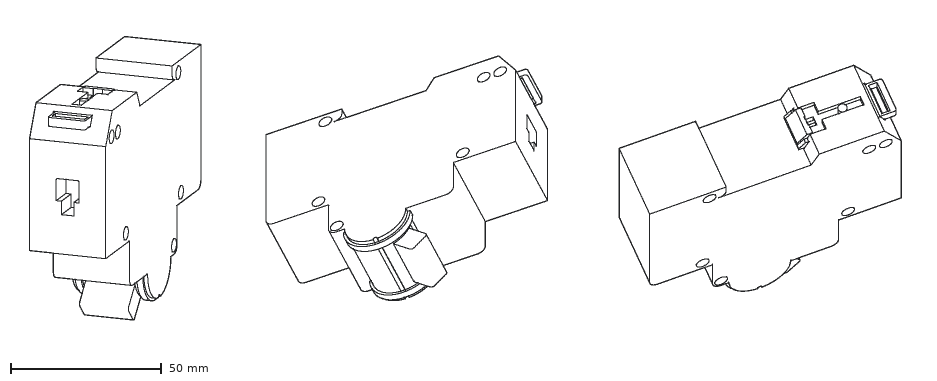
import cadquery as cq
import math


housing_width = 27.0
rear_y = 39.4
front_y = -50.7
nose_rear_y = 16.9
nose_front_y = -28.2
shoulder_z = 16.1
rail_floor_z = 60.1
top_z = 65.5
rail_rear_y = 12.05
rail_lip_radius = 2.7
rail_front_y = -18.3
rail_front_top_y = -21.3
front_slope_top_y = -44.5
front_slope_bottom_z = 54.8
corner_radius = 2.9

cross_hole_diameter = 4.6
cross_hole_places = [
    (18.0, 61.6),
    (20.4, 19.6),
    (13.9, 3.1),
    (-31.6, 19.6),
    (-39.2, 56.7),
    (-45.1, 56.7),
]

drum_radius = 11.0
ring_radius = 12.05
ring_width = 2.2
ring_offset_x = 11.0
drum_hole_diameter = 1.5
drum_hole_z = -10.9
lever_width = 17.3
lever_thickness = 7.9
lever_reach = 19.8
lever_angle = 45.0
lever_tip_radius = 1.1
lever_notch_top_z = -2.9
lever_notch_bottom_z = -5.5
lever_notch_depth = 4.6

pocket_top_z = 42.0
pocket_step_z = 34.3
pocket_bottom_z = 29.7
pocket_wide = 8.0
pocket_narrow = 4.4
pocket_depth = 9.1
pocket_corner_radius = 0.5

clip_width = 13.1
clip_rear_y = -16.7
clip_length = 35.1
clip_front_y = clip_rear_y - clip_length
clip_top_z = 63.2
clip_nose_z = 60.7
clip_corner_radius = 0.9
catch_width = 10.2
catch_nose_z = 62.0
catch_front_y = -22.3
window_width = 11.5
window_rear_y = -46.7
window_front_y = -49.7
pin_diameter = 3.1
pin_y = -35.05
pin_top_z = 65.3
spring_pocket_width = 3.3
spring_pocket_rear_y = -22.0
spring_pocket_front_y = -25.2
spring_rib_width = 1.0
spring_rib_top_z = 62.9

channel_width = 13.8
channel_top_z = 63.5
slot_head_width = 10.8
slot_head_front_y = -27.0
slot_stem_width = 3.3
slot_stem_front_y = -42.1


def box(width, rear, front, bottom, top):
    """Box centred on X = 0 between two Y positions and two Z positions."""
    corner = cq.Vector(-width / 2, front, bottom)
    return cq.Workplane(cq.Solid.makeBox(width, rear - front, top - bottom, corner))


def side_prism(outline, width):
    """Closed (Y, Z) outline extruded along X, centred on X = 0."""
    return outline.extrude(width).translate((-width / 2, 0, 0))


def housing_shell():
    lip_drop = rail_lip_radius * math.sqrt(0.5)
    lip_centre_y = rail_rear_y + rail_lip_radius
    lip_centre_z = rail_floor_z + rail_lip_radius
    outline = (
        cq.Workplane("YZ")
        .moveTo(rear_y, top_z)
        .lineTo(rail_rear_y, top_z)
        .lineTo(rail_rear_y, lip_centre_z)
        .threePointArc((lip_centre_y - lip_drop, lip_centre_z - lip_drop), (lip_centre_y, rail_floor_z))
        .lineTo(rail_front_y, rail_floor_z)
        .lineTo(rail_front_top_y, top_z)
        .lineTo(front_slope_top_y, top_z)
        .lineTo(front_y, front_slope_bottom_z)
        .lineTo(front_y, shoulder_z)
        .lineTo(nose_front_y, shoulder_z)
        .lineTo(nose_front_y, 0)
        .lineTo(nose_rear_y, 0)
        .lineTo(nose_rear_y, shoulder_z)
        .lineTo(rear_y, shoulder_z)
        .close()
    )
    rounded_corners = [(rear_y, shoulder_z), (nose_rear_y, 0), (nose_front_y, 0)]
    shell = side_prism(outline, housing_width)
    for y, z in rounded_corners:
        shell = shell.edges(cq.selectors.NearestToPointSelector((0, y, z))).fillet(corner_radius)
    return shell


def drum():
    """Drum with a notch that leaves the upper face of the lever free."""
    cylinder = side_prism(cq.Workplane("YZ").circle(drum_radius), housing_width)
    notch_back_y = lever_notch_depth - ring_radius
    notch = box(lever_width, notch_back_y, -ring_radius, lever_notch_bottom_z, lever_notch_top_z)
    return cylinder.cut(notch)


def drum_rings():
    """Two raised bands around the drum."""
    band = side_prism(cq.Workplane("YZ").circle(ring_radius).circle(drum_radius), ring_width)
    left_band = band.translate((-ring_offset_x, 0, 0))
    right_band = band.translate((ring_offset_x, 0, 0))
    return left_band.union(right_band)


def lever():
    """Blade pointing down from the drum axis, then swung toward the front."""
    blade = box(lever_width, lever_thickness / 2, -lever_thickness / 2, -lever_reach, 0)
    blade = blade.faces("<Z").edges("|X").fillet(lever_tip_radius)
    return blade.rotate((0, 0, 0), (1, 0, 0), -lever_angle)


def cross_holes():
    holes = cq.Workplane("YZ").pushPoints(cross_hole_places).circle(cross_hole_diameter / 2)
    return side_prism(holes, housing_width)


def drum_hole():
    hole = cq.Workplane("YZ").center(0, drum_hole_z).circle(drum_hole_diameter / 2)
    return side_prism(hole, housing_width)


def front_pocket():
    back_y = front_y + pocket_depth
    wide = box(pocket_wide, back_y, front_y, pocket_step_z, pocket_top_z)
    wide = wide.faces(">Z").edges("|Y").fillet(pocket_corner_radius)
    narrow = box(pocket_narrow, back_y, front_y, pocket_bottom_z, pocket_step_z)
    return wide.union(narrow)


def clip_channel():
    channel = box(channel_width, rail_front_y, front_y, rail_floor_z, channel_top_z)
    head = box(slot_head_width, rail_front_y, slot_head_front_y, rail_floor_z, top_z)
    stem = box(slot_stem_width, slot_head_front_y, slot_stem_front_y, rail_floor_z, top_z)
    return channel.union(head).union(stem)


def make_housing():
    body = housing_shell().union(drum()).union(lever()).cut(drum_hole())
    body = body.union(drum_rings())
    return body.cut(cross_holes()).cut(front_pocket()).cut(clip_channel())


def nosed_bar(width, front, nose_z, bar_top_z):
    """Bar on the rail floor with a 45 degree ramp at its rear end."""
    ramp = bar_top_z - nose_z
    outline = (
        cq.Workplane("YZ")
        .moveTo(clip_rear_y, rail_floor_z)
        .lineTo(clip_rear_y, nose_z)
        .lineTo(clip_rear_y - ramp, bar_top_z)
        .lineTo(front, bar_top_z)
        .lineTo(front, rail_floor_z)
        .close()
    )
    return side_prism(outline, width)


def make_clip():
    plate = nosed_bar(clip_width, clip_front_y, clip_nose_z, clip_top_z)
    plate = plate.faces("<Y").edges("|Z").fillet(clip_corner_radius)
    catch = nosed_bar(catch_width, catch_front_y, catch_nose_z, top_z)
    window = box(window_width, window_rear_y, window_front_y, rail_floor_z, clip_top_z)
    spring_pocket = box(
        spring_pocket_width, spring_pocket_rear_y, spring_pocket_front_y, rail_floor_z, top_z
    )
    spring_rib = box(
        spring_rib_width, spring_pocket_rear_y, spring_pocket_front_y, rail_floor_z, spring_rib_top_z
    )
    pin = (
        cq.Workplane("XY", origin=(0, pin_y, rail_floor_z))
        .circle(pin_diameter / 2)
        .extrude(pin_top_z - rail_floor_z)
    )
    return plate.union(catch).cut(window).cut(spring_pocket).union(spring_rib).union(pin)


housing = make_housing()
clip = make_clip()

result = cq.Compound.makeCompound([housing.val(), clip.val()])